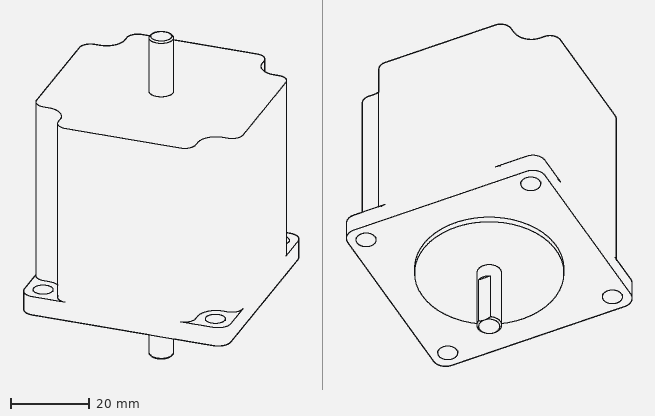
import cadquery as cq

side = 56.4
body_top = 55.3
flange_thickness = 5.3
flange_corner_radius = 3.5
hole_pitch = 47.1
hole_diameter = 5.1

relief_size = 9.4
relief_inner_radius = 5.0
relief_outer_radius = 3.0

pilot_diameter = 38.3
pilot_height = 1.65

total_height = 91.6
shaft_diameter = 6.3
shaft_chamfer = 0.5
rear_shaft_length = 15.85
flat_distance = 2.7
rear_flat_start = 1.0
front_flat_start = 3.9

shaft_top = body_top + rear_shaft_length
shaft_bottom = shaft_top - total_height


def make_flange():
    flange = cq.Workplane("XY").rect(side, side).extrude(flange_thickness)
    flange = flange.edges("|Z").fillet(flange_corner_radius)
    return (
        flange.faces(">Z").workplane()
        .rect(hole_pitch, hole_pitch, forConstruction=True)
        .vertices().hole(hole_diameter)
    )


def make_body():
    """Cross-shaped column whose relieved corners are rounded."""
    arm_width = side - 2 * relief_size
    height = body_top - flange_thickness
    base = cq.Workplane("XY").workplane(offset=flange_thickness)
    body = base.rect(side, arm_width).extrude(height)
    body = body.union(base.rect(arm_width, side).extrude(height))
    reach = arm_width / 2 + relief_size / 2
    inner_corners = cq.selectors.BoxSelector(
        (-reach, -reach, 0), (reach, reach, body_top)
    )
    body = body.edges("|Z").edges(inner_corners).fillet(relief_inner_radius)
    for face in (">X", "<X", ">Y", "<Y"):
        body = body.faces(face).edges("|Z").fillet(relief_outer_radius)
    return body


def make_pilot():
    return cq.Workplane("XY").circle(pilot_diameter / 2).extrude(-pilot_height)


def flat_cutter(z_low, z_high):
    """Block that removes everything beyond the shaft flat between two heights."""
    return cq.Workplane("XY").box(
        shaft_diameter, shaft_diameter, z_high - z_low, centered=(True, False, False)
    ).translate((0, flat_distance, z_low))


def make_shaft():
    shaft = cq.Workplane("XY").workplane(offset=shaft_bottom)
    shaft = shaft.circle(shaft_diameter / 2).extrude(total_height)
    shaft = shaft.faces("<Z or >Z").chamfer(shaft_chamfer)
    shaft = shaft.cut(flat_cutter(body_top + rear_flat_start, shaft_top))
    return shaft.cut(flat_cutter(shaft_bottom, -pilot_height - front_flat_start))


result = make_flange().union(make_body()).union(make_pilot()).union(make_shaft())